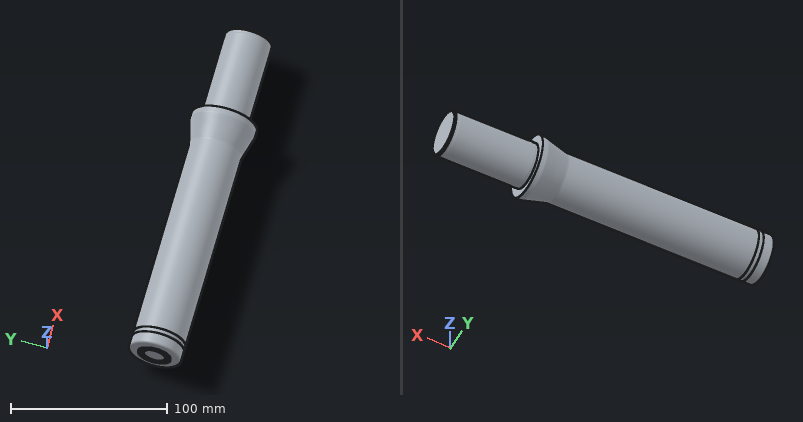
import cadquery as cq

total_length = 231.0

barrel_radius = 35.0 / 2
collar_radius = 44.0 / 2
barrel_left = -total_length / 2
band_start = barrel_left + 8.0
band_end = barrel_left + 11.5
band_depth = 0.1
flare_start = barrel_left + 149.2
flare_end = barrel_left + 166.0
collar_end = barrel_left + 170.5
end_round = 1.6
flare_root_round = 4.6
flare_rim_round = 2.8

groove_outer_radius = 10.9
groove_inner_radius = 7.2
groove_depth = 0.5
groove_wall_run = 1.2

rod_radius = 31.6 / 2
neck_radius = 31.5 / 2
neck_end = collar_end + 1.5
tip_start = barrel_left + 227.5
rod_end = barrel_left + total_length
shoulder_run = 0.7
tip_chamfer_length = 1.2
tip_chamfer_rise = 0.7

selection_margin = 0.02


def revolve_about_x(points):
    """Turn a closed (x, radius) outline about the X axis."""
    return cq.Workplane("XY").polyline(points).close().revolve(360, (0, 0, 0), (1, 0, 0))


def circle_edge_at(x, radius):
    """Select the circular edge centred on the X axis that passes through (x, 0, radius)."""
    reach = radius + selection_margin
    return cq.selectors.BoxSelector(
        (x - selection_margin, -reach, -reach),
        (x + selection_margin, reach, reach),
        boundingbox=True,
    )


def make_barrel():
    barrel = revolve_about_x([
        (barrel_left, 0),
        (barrel_left, barrel_radius),
        (flare_start, barrel_radius),
        (flare_end, collar_radius),
        (collar_end, collar_radius),
        (collar_end, 0),
    ])
    barrel = barrel.edges(circle_edge_at(flare_start, barrel_radius)).fillet(flare_root_round)
    barrel = barrel.edges(circle_edge_at(flare_end, collar_radius)).fillet(flare_rim_round)
    barrel = barrel.faces("<X").edges().fillet(end_round)
    return barrel.cut(make_relief_band()).cut(make_end_groove())


def make_relief_band():
    return revolve_about_x([
        (band_start, barrel_radius - band_depth),
        (band_start, collar_radius),
        (band_end, collar_radius),
        (band_end, barrel_radius - band_depth),
    ])


def make_end_groove():
    """Ring groove with sloping walls, narrower at its floor."""
    floor = barrel_left + groove_depth
    return revolve_about_x([
        (barrel_left, groove_inner_radius),
        (barrel_left, groove_outer_radius),
        (floor, groove_outer_radius - groove_wall_run),
        (floor, groove_inner_radius + groove_wall_run),
    ])


def make_rod():
    return revolve_about_x([
        (collar_end, 0),
        (collar_end, neck_radius),
        (neck_end, neck_radius),
        (neck_end + shoulder_run, rod_radius),
        (tip_start - shoulder_run, rod_radius),
        (tip_start, neck_radius),
        (rod_end - tip_chamfer_length, neck_radius),
        (rod_end, neck_radius - tip_chamfer_rise),
        (rod_end, 0),
    ])


barrel = make_barrel()
rod = make_rod()
result = cq.Compound.makeCompound([barrel.val(), rod.val()])